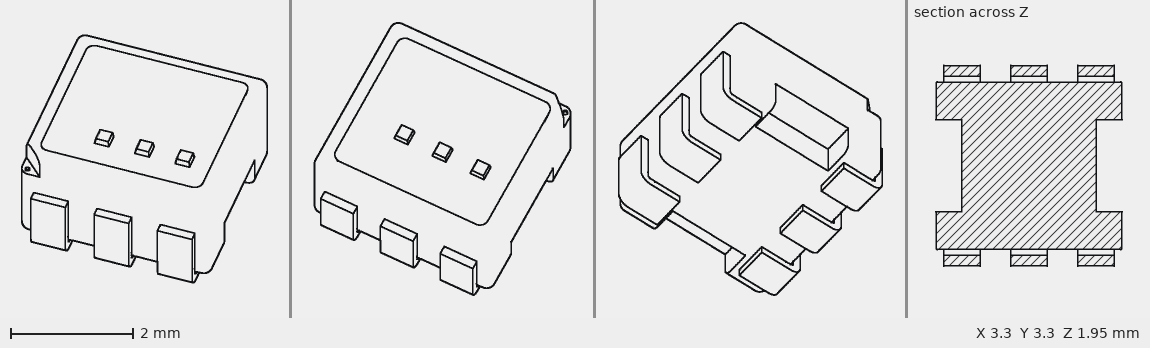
import cadquery as cq

body_length = 3.3
width_over_leads = 3.3
total_height = 1.95
lead_thickness = 0.15
body_width = width_over_leads - 2 * lead_thickness
body_height = total_height - lead_thickness
edge_radius = 0.15

rim_width = 0.25
cavity_depth = 0.8
draft_angle = 10.0
cavity_radius = 0.15

chip_side = 0.25
chip_height = 0.1
chip_pitch = 0.7

lead_width = 0.6
lead_pitch = 1.1
lead_height = 1.15
foot_length = 0.8
bend_outer_radius = 0.2
bend_inner_radius = bend_outer_radius - lead_thickness

corner_leg = 0.355
corner_depth = 0.4
dimple_diameter = 0.08
dimple_inset = 0.105
dimple_depth = 0.05

notch_width = 1.5
notch_height = 0.585
notch_depth = 0.545

top_z = total_height
body_base_z = lead_thickness
floor_z = top_z - cavity_depth
row_of_three = (-1, 0, 1)
both_ends = (-1, 1)


def make_body():
    block = cq.Workplane("XY").box(body_length, body_width, body_height, centered=(True, True, False))
    return block.edges().fillet(edge_radius).translate((0, 0, body_base_z))


def make_cavity():
    cavity = (
        cq.Workplane("XY", origin=(0, 0, top_z))
        .rect(body_length - 2 * rim_width, body_width - 2 * rim_width)
        .extrude(-cavity_depth, taper=draft_angle)
    )
    return cavity.faces("not >Z").edges("not >Z").fillet(cavity_radius)


def make_chips():
    return (
        cq.Workplane("XY", origin=(0, 0, floor_z))
        .pushPoints([(i * chip_pitch, 0) for i in row_of_three])
        .rect(chip_side, chip_side)
        .extrude(chip_height, taper=draft_angle)
    )


def make_lead(x):
    """L-shaped lead on the -Y side: a foot under the body and a blade up its wall."""
    outer_y = -width_over_leads / 2
    lead = (
        cq.Workplane("YZ", origin=(x - lead_width / 2, 0, 0))
        .moveTo(outer_y, 0)
        .lineTo(outer_y + foot_length, 0)
        .lineTo(outer_y + foot_length, lead_thickness)
        .lineTo(outer_y + lead_thickness, lead_thickness)
        .lineTo(outer_y + lead_thickness, lead_height)
        .lineTo(outer_y, lead_height)
        .close()
        .extrude(lead_width)
    )
    lead = lead.edges("|X and <Y and <Z").fillet(bend_outer_radius)
    inner_corner = cq.selectors.NearestToPointSelector((x, outer_y + lead_thickness, lead_thickness))
    return lead.edges(inner_corner).fillet(bend_inner_radius)


def make_corner_step():
    corner_x = -body_length / 2
    corner_y = -body_width / 2
    step_z = top_z - corner_depth
    step = (
        cq.Workplane("XY", origin=(corner_x, corner_y, step_z))
        .polyline([(0, 0), (corner_leg, 0), (0, corner_leg)])
        .close()
        .extrude(corner_depth)
    )
    dimple = (
        cq.Workplane("XY", origin=(corner_x + dimple_inset, corner_y + dimple_inset, step_z))
        .circle(dimple_diameter / 2)
        .extrude(-dimple_depth)
    )
    return step.union(dimple)


def make_notch(side):
    """Pocket open to the underside and to the -X end (side = -1) or the +X end (side = 1)."""
    notch_center_x = side * (body_length - notch_depth) / 2
    notch = cq.Workplane("XY").box(notch_depth, notch_width, notch_height, centered=(True, True, False))
    return notch.translate((notch_center_x, 0, body_base_z))


result = make_body().cut(make_cavity()).union(make_chips()).cut(make_corner_step())
for side in both_ends:
    result = result.cut(make_notch(side))
for i in row_of_three:
    lead = make_lead(i * lead_pitch)
    result = result.union(lead).union(lead.mirror("XZ"))